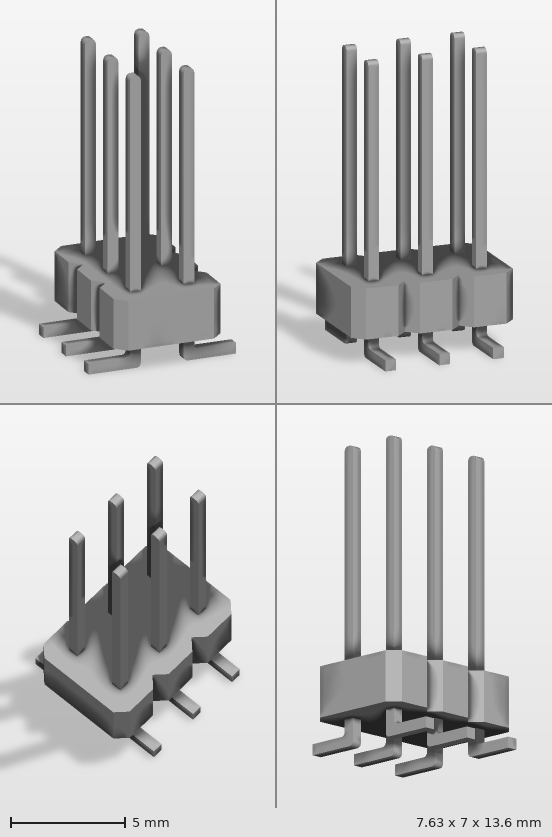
import cadquery as cq

column_count = 3
total_height = 13.56
body_length = 7.63
foot_span = 7.0

body_depth = 5.07
body_height = 2.32
body_bottom = 1.25
corner_cut = 0.5
column_pitch = body_length / column_count
row_pitch = body_depth / 2

pin_size = 0.5
tip_radius = 0.2
bend_radius = 0.2


def column_x(column):
    """X position of the centre of a column, with the columns centred on X = 0."""
    return (column - (column_count - 1) / 2) * column_pitch


def body_cell(column):
    """One octagonal cell of the body, holding the two pins of a column."""
    return (
        cq.Workplane("XY", origin=(column_x(column), 0, body_bottom))
        .rect(column_pitch, body_depth)
        .extrude(body_height)
        .edges("|Z")
        .chamfer(corner_cut)
    )


def pin(column):
    """L-shaped pin of the +Y row, with its foot pointing outward along +Y."""
    inner_y = (row_pitch - pin_size) / 2
    outer_y = inner_y + pin_size
    foot_tip_y = foot_span / 2
    outline = [
        (inner_y, 0),
        (foot_tip_y, 0),
        (foot_tip_y, pin_size),
        (outer_y, pin_size),
        (outer_y, total_height),
        (inner_y, total_height),
    ]
    blank = (
        cq.Workplane("YZ", origin=(column_x(column), 0, 0))
        .polyline(outline)
        .close()
        .extrude(pin_size / 2, both=True)
    )
    inside_bend = cq.NearestToPointSelector((column_x(column), outer_y, pin_size))
    outside_bend = cq.NearestToPointSelector((column_x(column), inner_y, 0))
    return (
        blank.faces(">Z").edges("|X").fillet(tip_radius)
        .edges("|X").edges(inside_bend).fillet(bend_radius)
        .edges("|X").edges(outside_bend).fillet(bend_radius)
    )


result = body_cell(0)
for column in range(1, column_count):
    result = result.union(body_cell(column))

for column in range(column_count):
    rear_pin = pin(column)
    front_pin = rear_pin.mirror("XZ")
    result = result.union(rear_pin).union(front_pin)

result = result.clean()